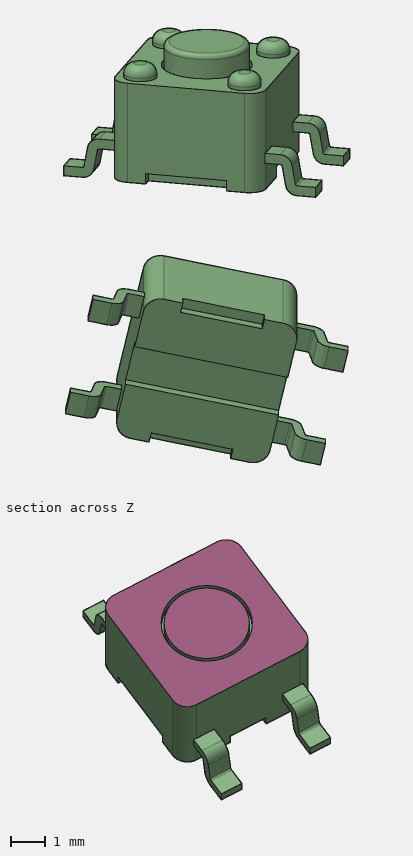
import cadquery as cq
import math

body_size = 4.5
body_height = 3.0
body_corner_radius = 0.5

channel_width = 1.215
channel_height = 0.315
notch_width = 2.4
notch_depth = 0.3

button_diameter = 2.46
button_height = 0.705
button_edge_radius = 0.15
recess_diameter = 2.6
recess_depth = 0.4

rivet_diameter = 0.95
rivet_height = 0.405
rivet_edge_radius = 0.3
rivet_offset = 1.55

lead_span = 7.5
lead_width = 0.7
lead_thickness = 0.3
lead_offset = 1.5
lead_drop = 0.1
lead_top = 1.1
lead_slope_angle = 80.0
lead_slope_reach = 0.45
bend_inner_radius = 0.05
bend_outer_radius = bend_inner_radius + lead_thickness


def make_body():
    notch_y = (body_size - notch_depth) / 2
    block = (
        cq.Workplane("XY")
        .rect(body_size, body_size)
        .extrude(body_height)
        .edges("|Z")
        .fillet(body_corner_radius)
    )
    channel = cq.Workplane("XY").rect(body_size, channel_width).extrude(channel_height)
    notches = (
        cq.Workplane("XY")
        .pushPoints([(0, -notch_y), (0, notch_y)])
        .rect(notch_width, notch_depth)
        .extrude(channel_height)
    )
    recess = (
        cq.Workplane("XY", origin=(0, 0, body_height))
        .circle(recess_diameter / 2)
        .extrude(-recess_depth)
    )
    return block.cut(channel).cut(notches).cut(recess)


def make_button():
    return (
        cq.Workplane("XY", origin=(0, 0, body_height - recess_depth))
        .circle(button_diameter / 2)
        .extrude(recess_depth + button_height)
        .edges(">Z")
        .fillet(button_edge_radius)
    )


def make_rivets():
    return (
        cq.Workplane("XY", origin=(0, 0, body_height))
        .rect(2 * rivet_offset, 2 * rivet_offset, forConstruction=True)
        .vertices()
        .circle(rivet_diameter / 2)
        .extrude(rivet_height)
        .edges(">Z")
        .fillet(rivet_edge_radius)
    )


def bend(x, z, radius, start_angle, end_angle):
    """Start, middle and end points of an arc about (x, z), with angles in degrees."""
    middle_angle = (start_angle + end_angle) / 2
    angles = [math.radians(a) for a in (start_angle, middle_angle, end_angle)]
    return [(x + radius * math.cos(a), z + radius * math.sin(a)) for a in angles]


def make_right_lead(y_center):
    """Lead on the +X side: a flat stub, a steep leg and a flat foot."""
    stub_bottom = lead_top - lead_thickness
    foot_bottom = -lead_drop
    foot_top = foot_bottom + lead_thickness
    embedded_x = body_size / 2 - body_corner_radius

    upper_x = body_size / 2 + lead_slope_reach
    upper_z = lead_top - bend_outer_radius
    lower_z = foot_bottom + bend_outer_radius
    slope = math.radians(lead_slope_angle)
    lower_x = (
        upper_x
        + (bend_inner_radius + bend_outer_radius) / math.sin(slope)
        + (upper_z - lower_z) / math.tan(slope)
    )
    leg_normal = 90 - lead_slope_angle

    upper_outer = bend(upper_x, upper_z, bend_outer_radius, 90, leg_normal)
    upper_inner = bend(upper_x, upper_z, bend_inner_radius, leg_normal, 90)
    lower_inner = bend(lower_x, lower_z, bend_inner_radius, 180 + leg_normal, 270)
    lower_outer = bend(lower_x, lower_z, bend_outer_radius, 270, 180 + leg_normal)

    return (
        cq.Workplane("XZ", origin=(0, y_center, 0))
        .moveTo(embedded_x, lead_top)
        .lineTo(*upper_outer[0])
        .threePointArc(*upper_outer[1:])
        .lineTo(*lower_inner[0])
        .threePointArc(*lower_inner[1:])
        .lineTo(lead_span / 2, foot_top)
        .lineTo(lead_span / 2, foot_bottom)
        .lineTo(*lower_outer[0])
        .threePointArc(*lower_outer[1:])
        .lineTo(*upper_inner[0])
        .threePointArc(*upper_inner[1:])
        .lineTo(embedded_x, stub_bottom)
        .close()
        .extrude(lead_width / 2, both=True)
    )


result = make_body().union(make_button()).union(make_rivets())
for lead_y in (-lead_offset, lead_offset):
    right_lead = make_right_lead(lead_y)
    result = result.union(right_lead).union(right_lead.mirror("YZ"))